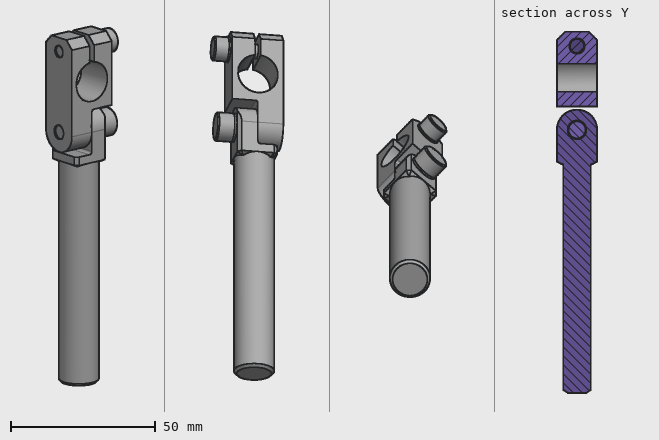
import cadquery as cq

total_height = 125.0
body_width = 14.0
half_width = body_width / 2

clamp_depth = 18.0
clamp_front = -clamp_depth / 2
clamp_back = clamp_depth / 2
top_chamfer_across = 3.0
top_chamfer_down = 3.0
bore_z = 109.0
bore_diameter = 14.0
slot_width = 2.0
step_z = 99.0
notch_fillet = 1.0

pivot_z = 91.0
seat_z = 83.0
knuckle_bottom = 80.0
knuckle_corner_chamfer = 1.2
neck_height = 1.1
neck_taper = 63
foot_chamfer = 1.0

head_edge_chamfer = 0.5
tip_recess = 0.6

clamp_screw_z = 120.0
clamp_screw_diameter = 5.0
clamp_screw_clearance = 5.2
clamp_screw_tap = 4.2
clamp_screw_head_diameter = 8.5
clamp_screw_head_height = 5.0
clamp_washer_diameter = 9.0
clamp_washer_thickness = 0.6

pivot_screw_diameter = 6.0
pivot_screw_clearance = 6.4
pivot_screw_tap = 5.0
pivot_screw_head_diameter = 10.0
pivot_screw_head_height = 5.9
pivot_washer_diameter = 10.0
pivot_washer_thickness = 0.8

screw_tip_y = clamp_front + tip_recess


def y_cylinder(diameter, y_start, y_end, z):
    """Cylinder along Y, centred on X = 0 at height z."""
    plane = cq.Plane(origin=(0, y_start, z), xDir=(1, 0, 0), normal=(0, 1, 0))
    return cq.Workplane(plane).circle(diameter / 2).extrude(y_end - y_start)


def box_between(y_start, y_end, z_start, z_end):
    """Box of the full body width between the given Y and Z limits."""
    return cq.Workplane("XY").box(
        body_width, y_end - y_start, z_end - z_start, centered=(True, False, False)
    ).translate((0, y_start, z_start))


def make_clamp():
    shoulder_z = total_height - top_chamfer_down
    top_half_width = half_width - top_chamfer_across
    clamp = (
        cq.Workplane("XZ", origin=(0, clamp_back, 0))
        .moveTo(-half_width, pivot_z)
        .lineTo(-half_width, shoulder_z)
        .lineTo(-top_half_width, total_height)
        .lineTo(top_half_width, total_height)
        .lineTo(half_width, shoulder_z)
        .lineTo(half_width, pivot_z)
        .threePointArc((0, pivot_z - half_width), (-half_width, pivot_z))
        .close()
        .extrude(clamp_depth)
    )
    notch = box_between(0, clamp_back, pivot_z - half_width, step_z)
    notch = notch.edges("|X and >Z and <Y").fillet(notch_fillet)
    bore = cq.Workplane("YZ", origin=(0, 0, bore_z)).circle(bore_diameter / 2).extrude(half_width, both=True)
    slot = box_between(-slot_width / 2, slot_width / 2, bore_z, total_height)
    clamp = clamp.cut(notch).cut(bore).cut(slot)

    clamp = clamp.cut(y_cylinder(clamp_screw_clearance, 0, clamp_back, clamp_screw_z))
    clamp = clamp.cut(y_cylinder(clamp_screw_diameter, screw_tip_y, 0, clamp_screw_z))
    clamp = clamp.cut(y_cylinder(clamp_screw_tap, clamp_front, screw_tip_y, clamp_screw_z))
    clamp = clamp.cut(y_cylinder(pivot_screw_diameter, screw_tip_y, 0, pivot_z))
    return clamp.cut(y_cylinder(pivot_screw_tap, clamp_front, screw_tip_y, pivot_z))


def make_knuckle_rod():
    knuckle_top = pivot_z + half_width
    knuckle = box_between(-half_width, half_width, knuckle_bottom, knuckle_top)
    knuckle = knuckle.edges("|Z").chamfer(knuckle_corner_chamfer)
    round_top = y_cylinder(body_width, -half_width, half_width, pivot_z)
    square_base = box_between(-half_width, half_width, knuckle_bottom, pivot_z)
    knuckle = knuckle.intersect(round_top.union(square_base))
    notch = box_between(-half_width, 0, seat_z, knuckle_top)
    notch = notch.edges("|X and <Z and >Y").fillet(notch_fillet)
    knuckle = knuckle.cut(notch)

    rod = cq.Workplane("XY").circle(half_width).extrude(knuckle_bottom)
    rod = rod.faces("<Z").chamfer(foot_chamfer)
    neck = (
        knuckle.faces("<Z").wires().toPending()
        .workplane(origin=(0, 0, knuckle_bottom))
        .extrude(neck_height, combine=False, taper=neck_taper)
    )
    knuckle_rod = rod.union(neck).union(knuckle)
    return knuckle_rod.cut(y_cylinder(pivot_screw_clearance, 0, half_width, pivot_z))


def make_screw(diameter, head_diameter, head_height, seat_y, z):
    """Cap screw entering from +Y, with its head resting on a washer face at seat_y."""
    head = y_cylinder(head_diameter, seat_y, seat_y + head_height, z)
    head = head.faces(">Y").chamfer(head_edge_chamfer)
    return head.union(y_cylinder(diameter, screw_tip_y, seat_y, z))


def make_washer(outer_diameter, hole_diameter, thickness, face_y, z):
    """Flat washer lying on a face at face_y."""
    washer = y_cylinder(outer_diameter, face_y, face_y + thickness, z)
    return washer.cut(y_cylinder(hole_diameter, face_y, face_y + thickness, z))


clamp = make_clamp()
knuckle_rod = make_knuckle_rod()
clamp_screw = make_screw(
    clamp_screw_diameter, clamp_screw_head_diameter, clamp_screw_head_height,
    clamp_back + clamp_washer_thickness, clamp_screw_z,
)
pivot_screw = make_screw(
    pivot_screw_diameter, pivot_screw_head_diameter, pivot_screw_head_height,
    half_width + pivot_washer_thickness, pivot_z,
)
clamp_washer = make_washer(
    clamp_washer_diameter, clamp_screw_clearance, clamp_washer_thickness, clamp_back, clamp_screw_z,
)
pivot_washer = make_washer(
    pivot_washer_diameter, pivot_screw_clearance, pivot_washer_thickness, half_width, pivot_z,
)

result = cq.Compound.makeCompound([
    clamp.val(),
    knuckle_rod.val(),
    clamp_screw.val(),
    pivot_screw.val(),
    clamp_washer.val(),
    pivot_washer.val(),
])